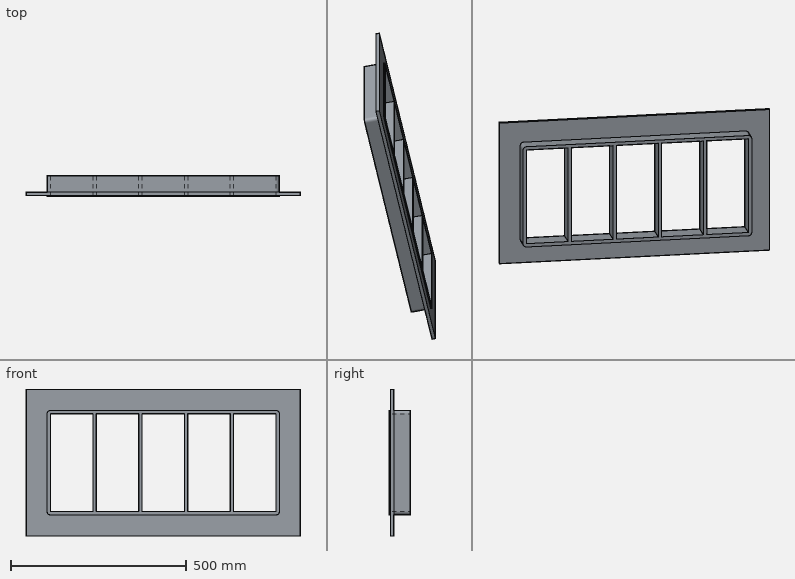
import cadquery as cq

plate_width = 782.5
plate_height = 418.0
plate_thickness = 10.0

flange_margin = 60.0
body_width = plate_width - 2 * flange_margin
body_height = plate_height - 2 * flange_margin
body_depth = 60.0
front_lip = 3.0
corner_radius = 10.0

opening_count = 5
wall = 10.0
opening_width = (body_width - (opening_count + 1) * wall) / opening_count
opening_height = body_height - 2 * wall
opening_pitch = opening_width + wall


def block(width, height, depth, front_y, center_x=0.0):
    """Box centred in Z that extends toward +Y from its front face."""
    center_y = front_y + depth / 2
    return cq.Workplane("XY").box(width, depth, height).translate((center_x, center_y, 0))


def make_plate():
    return block(plate_width, plate_height, plate_thickness, 0.0)


def make_body():
    """Body with rounded corners, standing slightly proud of the plate front."""
    body = block(body_width, body_height, body_depth, -front_lip)
    return body.edges("|Y").fillet(corner_radius)


def cut_openings(part):
    """Cut the row of rectangular openings through the full body depth."""
    for index in range(opening_count):
        center_x = (index - (opening_count - 1) / 2) * opening_pitch
        opening = block(opening_width, opening_height, body_depth, -front_lip, center_x)
        part = part.cut(opening)
    return part


result = cut_openings(make_plate().union(make_body()))